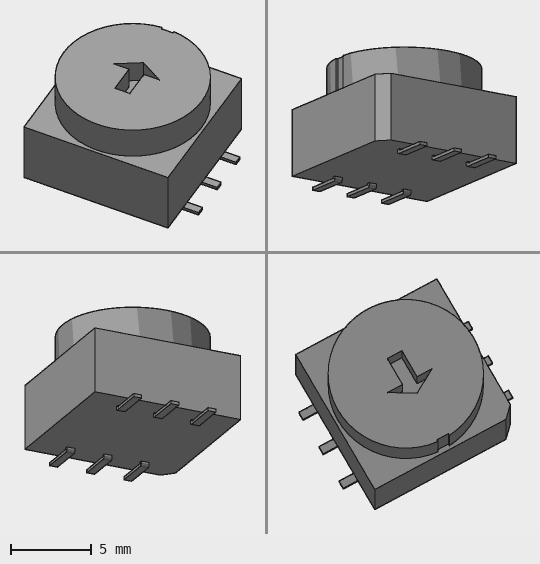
import cadquery as cq

total_length = 12.0
total_height = 6.8

body_side = 10.0
body_height = 4.3
corner_cut = 0.71

knob_diameter = 9.6
notch_width = 0.8
notch_depth = 0.15

arrow_tip_y = 1.43
arrow_shoulder_y = 0.5
arrow_tail_y = -1.42
arrow_head_half_width = 1.58
arrow_shaft_half_width = 0.52
arrow_depth = 1.5

lead_standoff = 0.3
lead_thickness = 0.2
lead_width = 0.54
lead_length = 2.5
lead_pitch = 2.55
lead_bend_radius = 0.15
leads_per_side = 3

body_top = lead_standoff + body_height
knob_height = total_height - body_top


def make_body():
    block = cq.Workplane("XY").workplane(offset=lead_standoff).rect(body_side, body_side)
    block = block.extrude(body_height)
    return block.edges("|Z and <X and >Y").chamfer(corner_cut)


def make_knob():
    knob = cq.Workplane("XY").workplane(offset=body_top).circle(knob_diameter / 2)
    knob = knob.extrude(knob_height)

    notch = (
        cq.Workplane("XY")
        .workplane(offset=body_top)
        .center(0, knob_diameter / 2)
        .rect(notch_width, 2 * notch_depth)
        .extrude(knob_height)
    )
    return knob.cut(notch)


def make_arrow_slot():
    return (
        cq.Workplane("XY")
        .workplane(offset=total_height - arrow_depth)
        .moveTo(0, arrow_tip_y)
        .lineTo(arrow_head_half_width, arrow_shoulder_y)
        .lineTo(arrow_shaft_half_width, arrow_shoulder_y)
        .lineTo(arrow_shaft_half_width, arrow_tail_y)
        .lineTo(-arrow_shaft_half_width, arrow_tail_y)
        .lineTo(-arrow_shaft_half_width, arrow_shoulder_y)
        .lineTo(-arrow_head_half_width, arrow_shoulder_y)
        .close()
        .extrude(arrow_depth)
    )


def make_left_lead(y):
    outer_x = -total_length / 2
    inner_x = outer_x + lead_length
    lead = (
        cq.Workplane("XZ", origin=(0, y, 0))
        .moveTo(outer_x, 0)
        .lineTo(inner_x, 0)
        .lineTo(inner_x, lead_standoff)
        .lineTo(inner_x - lead_thickness, lead_standoff)
        .lineTo(inner_x - lead_thickness, lead_thickness)
        .lineTo(outer_x, lead_thickness)
        .close()
        .extrude(lead_width / 2, both=True)
    )
    return lead.edges("|Y and >X and <Z").fillet(lead_bend_radius)


result = make_body().union(make_knob()).cut(make_arrow_slot())
for i in range(leads_per_side):
    lead_y = (i - (leads_per_side - 1) / 2) * lead_pitch
    left_lead = make_left_lead(lead_y)
    result = result.union(left_lead).union(left_lead.mirror("YZ"))